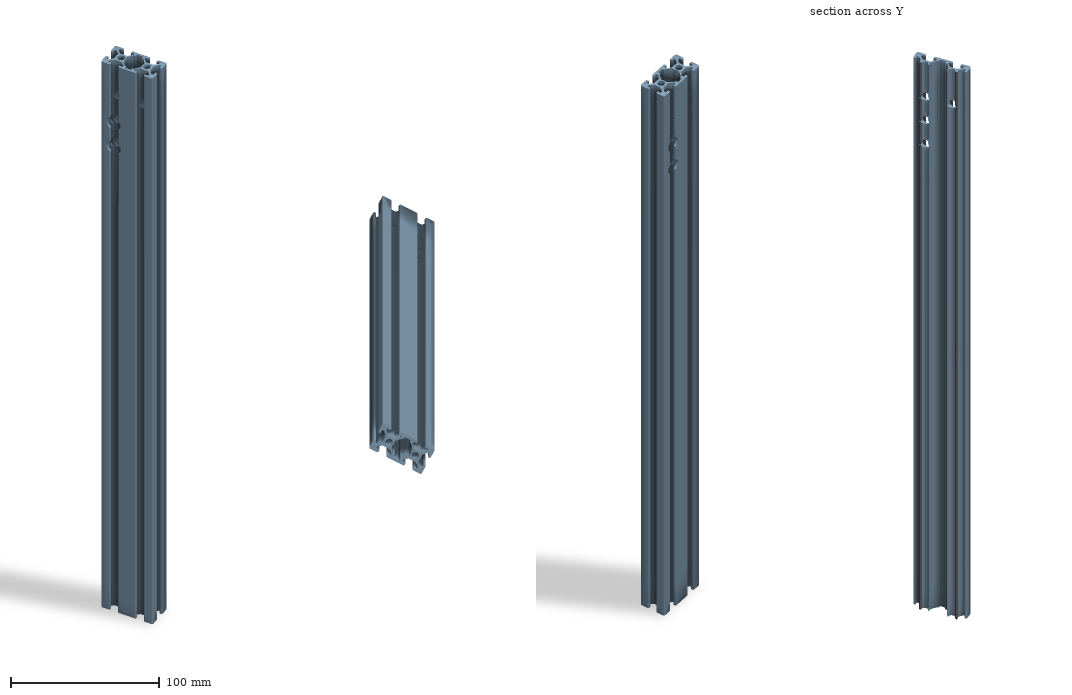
import cadquery as cq

length = 465.0
cell = 20.0
width = 2 * cell
half_cell = cell / 2
edge_radius = 1.0

mouth_width = 6.0
lip_thickness = 1.8
slot_width = 11.0
slot_wall = 1.67
floor_width = 5.5
slot_depth = 6.0

cavity_width = 13.5
cavity_side = 5.0
shoulder_width = 7.0
shoulder_height = 13.0
cavity_neck_width = 4.5
cavity_height = 16.7

core_bore_diameter = 5.0

hole_diameter = 6.5
access_diameter = 10.5
first_hole_drop = 29.8
hole_pitch = cell


def mirrored(right_side):
    """Close a half outline, listed from top to bottom, by mirroring it in X."""
    return right_side + [(-x, y) for x, y in reversed(right_side)]


def prism(outline):
    """Extrude a closed outline over the full length of the part."""
    return cq.Workplane("XY").polyline(outline).close().extrude(length)


def t_slot(x, y, angle):
    """T-slot cutter with its mouth centred on (x, y); it opens toward +Y, turned by angle."""
    slot = prism(
        mirrored(
            [
                (mouth_width / 2, 0),
                (mouth_width / 2, -lip_thickness),
                (slot_width / 2, -lip_thickness),
                (slot_width / 2, -lip_thickness - slot_wall),
                (floor_width / 2, -slot_depth),
            ]
        )
    )
    return slot.rotate((0, 0, 0), (0, 0, 1), angle).translate((x, y, 0))


def central_cavity():
    """Lengthwise cavity between the cores, symmetric about both axes."""
    upper = [
        (cavity_neck_width / 2, cavity_height / 2),
        (cavity_neck_width / 2, shoulder_height / 2),
        (shoulder_width / 2, shoulder_height / 2),
        (cavity_width / 2, cavity_side / 2),
    ]
    lower = [(x, -y) for x, y in reversed(upper)]
    return prism(mirrored(upper + lower))


def cross_hole(x, drop, diameter, depth):
    """Round cutter entering the front face at a given drop below the top end."""
    front = cq.Workplane("XZ", origin=(x, -half_cell, length - drop))
    return front.circle(diameter / 2).extrude(-depth)


body = cq.Workplane("XY").rect(width, cell).extrude(length)
for side in (-1, 1):
    body = body.cut(t_slot(side * half_cell, half_cell, 0))
    body = body.cut(t_slot(side * half_cell, -half_cell, 180))
    body = body.cut(t_slot(side * cell, 0, -90 * side))
body = body.faces("<X or >X or <Y or >Y").edges("|Z").fillet(edge_radius)

body = body.cut(central_cavity())
for side in (-1, 1):
    core_bore = cq.Workplane("XY").center(side * half_cell, 0).circle(core_bore_diameter / 2).extrude(length)
    body = body.cut(core_bore)

for side in (-1, 1):
    body = body.cut(cross_hole(side * half_cell, first_hole_drop, hole_diameter, cell))

for step in (1, 2):
    drop = first_hole_drop + step * hole_pitch
    body = body.cut(cross_hole(-half_cell, drop, hole_diameter, cell))
    body = body.cut(cross_hole(-half_cell, drop, access_diameter, slot_depth))

result = body